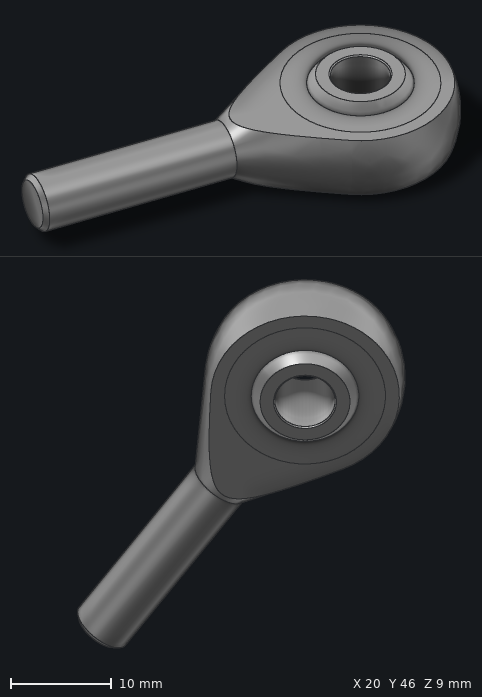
import cadquery as cq
import math

overall_length = 46.0
head_radius = 10.0
head_thickness = 6.8
shank_radius = 3.0
shank_chamfer = 0.5
race_radius = 8.0
ball_radius = 6.35
ball_width = 9.0
bore_radius = 3.0
bore_chamfer = 0.15
neck_end_y = -14.95

shank_end_y = head_radius - overall_length


def tangent_point():
    """Point (radius, y) where the neck cone leaves the head sphere tangentially."""
    neck_distance = math.hypot(shank_radius, neck_end_y)
    neck_angle = math.atan2(neck_end_y, shank_radius)
    angle = neck_angle + math.acos(head_radius / neck_distance)
    return head_radius * math.cos(angle), head_radius * math.sin(angle)


def z_cylinder(radius, height):
    return cq.Workplane("XY").circle(radius).extrude(height / 2, both=True)


def make_housing():
    """Sphere, tangent cone and shank turned about Y, with flat faces and a race seat."""
    body = (
        cq.Workplane("XY")
        .moveTo(0, head_radius)
        .threePointArc((head_radius, 0), tangent_point())
        .lineTo(shank_radius, neck_end_y)
        .lineTo(shank_radius, shank_end_y + shank_chamfer)
        .lineTo(shank_radius - shank_chamfer, shank_end_y)
        .lineTo(0, shank_end_y)
        .close()
        .revolve(360, (0, 0, 0), (0, 1, 0))
    )
    slab = (
        cq.Workplane("XY")
        .box(2 * overall_length, 2 * overall_length, head_thickness)
    )
    return body.intersect(slab).cut(z_cylinder(race_radius, head_thickness))


def make_race():
    """Ring flush with the head faces, with a spherical seat for the ball."""
    ball_seat = cq.Workplane("XY").sphere(ball_radius)
    return z_cylinder(race_radius, head_thickness).cut(ball_seat)


def make_ball():
    """Sphere truncated by flat ends, with a chamfered through bore."""
    half_width = ball_width / 2
    flat_radius = math.sqrt(ball_radius**2 - half_width**2)
    return (
        cq.Workplane("XZ")
        .moveTo(bore_radius + bore_chamfer, -half_width)
        .lineTo(flat_radius, -half_width)
        .threePointArc((ball_radius, 0), (flat_radius, half_width))
        .lineTo(bore_radius + bore_chamfer, half_width)
        .lineTo(bore_radius, half_width - bore_chamfer)
        .lineTo(bore_radius, -half_width + bore_chamfer)
        .close()
        .revolve(360, (0, 0, 0), (0, 1, 0))
    )


housing = make_housing()
race = make_race()
ball = make_ball()

result = cq.Compound.makeCompound([housing.val(), race.val(), ball.val()])